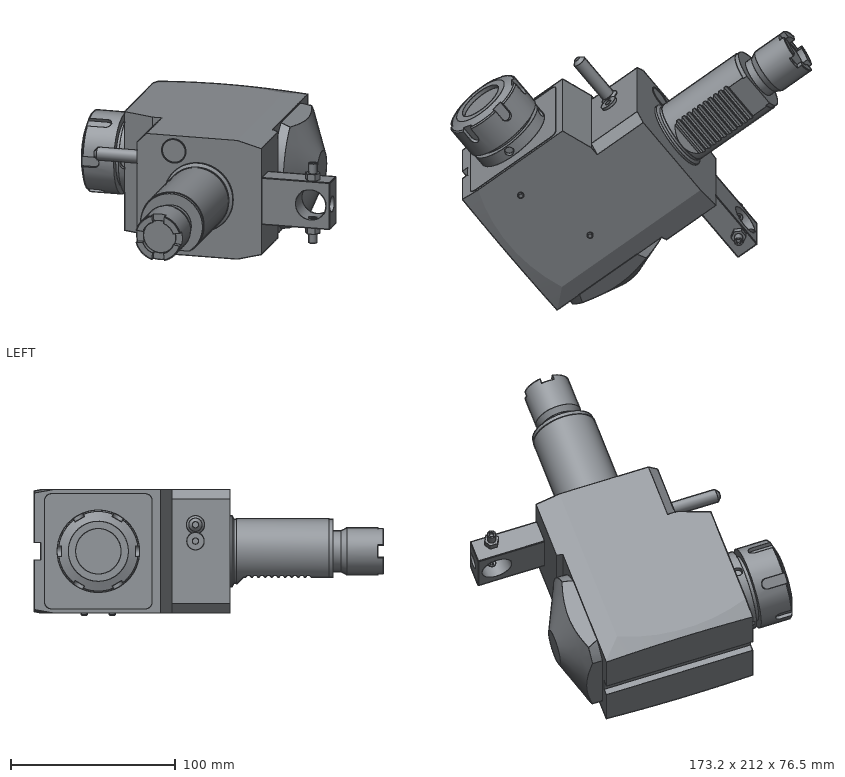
import cadquery as cq
import math


HALF_HEIGHT = 37.5
REAR_Y = 119.0
SPINDLE_Y = 80.0
NOSE_FACE_X = -58.5
NOSE_BOTTOM_Y = 42.2
FOOT_FACE_X = -39.0
FOOT_TOP_Y = 35.2
FOOT_CHAMFER = 6.0
BACK_FACE_X = 35.6
BACK_STEP_TOP_Y = 39.0
BACK_STEP_BOTTOM_Y = 37.7
BACK_FOOT_X = 39.2
TAPER_START_X = 24.2
TAPER_ANGLE = 15
CROWN_X = -17.8
CROWN_Y = 4.2
CROWN_RADIUS = 110.2
CROWN_ANGLE = 11
CROWN_OUTER_RADIUS = 148.5
NOTCH_WIDTH = 10.4
NOTCH_DEPTH = 4.0

PANEL_BOTTOM_Y = 47.3
PANEL_TOP_Y = 112.5
PANEL_HALF_HEIGHT = 35.0
PANEL_CORNER_RADIUS = 4.2
PANEL_THICKNESS = 0.2
PLUG_X = -16.0
PLUG_Z = 27.8
PLUG_RADIUS = 7.6
PLUG_GROOVE = 0.5
BUTTONS = [(-40.0, 88.5), (6.8, 71.5)]
BUTTON_RADIUS = 2.0
BUTTON_HEIGHT = 1.5
BUTTON_CHAMFER = 0.6

PIN_Y = 21.0
PIN_Z = 16.1
PIN_TIP_X = -71.5
PIN_RADIUS = 4.0
PIN_CHAMFER = 2.1
PIN_COLLAR_RADIUS = 5.5
COLLAR_HEIGHT = 2.0
NOZZLE_Z = 6.1
NOZZLE_RADIUS = 5.3
NOZZLE_HEIGHT = 1.7
NOZZLE_BORE_RADIUS = 2.0

NUT_FACE_X = -91.2
NUT_CHAMFER_X = -89.0
NUT_EDGE_BREAK = 0.8
NUT_BACK_X = -69.0
NUT_RADIUS = 25.0
NUT_FACE_RADIUS = 18.2
COLLET_RADIUS = 13.8
COLLET_DEPTH = 2.5
NECK_RADIUS = 20.4
SPINDLE_COLLAR_X = -66.1
SPINDLE_COLLAR_RADIUS = 24.2
SPANNER_SLOT_WIDTH = 6.5
SPANNER_SLOT_DEPTH = 2.5
LONG_SLOT_END_X = -73.8
SHORT_SLOT_END_X = -78.2
LONG_SLOT_ANGLES = (60, 120)
SHORT_SLOT_ANGLES = (0, 180, 240, 300)
COLLAR_HOLE_X = -62.5
COLLAR_HOLE_RADIUS = 2.8
COLLAR_HOLE_DEPTH = 3.2

CAP_RADIUS = 40.0
CAP_RIM_X = 42.0
CAP_END_X = 55.3
CAP_END_RADIUS = 10.8
CAP_HALF_SIDE = 31.8

SHANK_RADIUS = 20.0
SHANK_FLANGE_RADIUS = 21.6
SHANK_FLANGE_Y = -1.3
SHANK_RELIEF_Y = -2.3
SHANK_RELIEF_RADIUS = 19.5
SHANK_TOP_Y = -4.0
SHANK_END_Y = -62.5
SHANK_TIP_STEP = 2.5
RACK_FLAT_Z = -16.0
RACK_START_Y = -8.0
RACK_LAST_GROOVE_Y = -47.5
RACK_PITCH = 4.0
RACK_GROOVES = 10
RACK_GROOVE_DEPTH = 1.0
RACK_GROOVE_ROOT = 0.8

DRIVE_END_Y = -93.0
DRIVE_NECK_RADIUS = 12.5
DRIVE_NECK_END_Y = -67.2
DRIVE_SHOULDER_Y = -71.0
DRIVE_RADIUS = 14.5
DRIVE_CHAMFER = 0.5
DRIVE_BORE_RADIUS = 10.2
DRIVE_BORE_DEPTH = 4.0
DRIVE_SLOT_INNER_RADIUS = 9.5
DRIVE_SLOT_INNER_WIDTH = 7.0
DRIVE_SLOT_OUTER_WIDTH = 8.0
DRIVE_SLOT_DEPTH = 3.4
DRIVE_SLOTS = 4

ARM_END_X = 82.0
ARM_BOTTOM_Y = 1.3
ARM_TOP_Y = 16.1
ARM_HALF_HEIGHT = 14.8
ARM_EDGE_CHAMFER = 0.5
ARM_HOLE_X = 70.0
ARM_HOLE_RADIUS = 9.5
ARM_SCREW_Y = 6.4
SCREW_RADIUS = 2.5
SCREW_HEAD_Z = 25.0
SCREW_POINT_Z = 10.2
SCREW_DIMPLE_RADIUS = 1.0
SCREW_DIMPLE_DEPTH = 1.3
ARM_END_HOLE_RADIUS = 4.9
LOCKNUT_ACROSS_CORNERS = 9.1
LOCKNUT_HEIGHT = 4.0
SOCKET_ACROSS_CORNERS = 3.4
SOCKET_DEPTH = 2.1


def cylinder_x(x_start, x_end, y, z, radius):
    """Cylinder along +X between two X positions."""
    start = cq.Vector(x_start, y, z)
    return cq.Workplane(obj=cq.Solid.makeCylinder(radius, x_end - x_start, start, cq.Vector(1, 0, 0)))


def revolve_x(profile):
    """Solid of (x, radius) points turned about the spindle axis."""
    points = [(x, SPINDLE_Y + radius) for x, radius in profile]
    return (cq.Workplane("XY").polyline(points).close()
            .revolve(360, (0, SPINDLE_Y), (1, SPINDLE_Y)))


def revolve_y(profile):
    """Solid of (radius, y) points turned about the shank axis."""
    return cq.Workplane("XY").polyline(profile).close().revolve(360, (0, 0), (0, 1))


def make_housing():
    plan = [
        (NOSE_FACE_X, REAR_Y), (BACK_FACE_X, REAR_Y),
        (BACK_FACE_X, BACK_STEP_TOP_Y), (BACK_FOOT_X, BACK_STEP_BOTTOM_Y),
        (BACK_FOOT_X, 0), (FOOT_FACE_X, 0),
        (FOOT_FACE_X, FOOT_TOP_Y), (NOSE_FACE_X, NOSE_BOTTOM_Y),
    ]
    block = cq.Workplane("XY").polyline(plan).close().extrude(HALF_HEIGHT, both=True)

    taper_drop = (BACK_FOOT_X - TAPER_START_X) * math.tan(math.radians(TAPER_ANGLE))
    taper_z = HALF_HEIGHT - taper_drop
    side = [
        (NOSE_FACE_X, HALF_HEIGHT), (TAPER_START_X, HALF_HEIGHT), (BACK_FOOT_X, taper_z),
        (BACK_FOOT_X, -taper_z), (TAPER_START_X, -HALF_HEIGHT), (NOSE_FACE_X, -HALF_HEIGHT),
    ]
    block = block.intersect(cq.Workplane("XZ").polyline(side).close().extrude(-REAR_Y))

    crown_drop = (CROWN_OUTER_RADIUS - CROWN_RADIUS) * math.tan(math.radians(CROWN_ANGLE))
    crown_z = HALF_HEIGHT - crown_drop
    crown_profile = [
        (0, HALF_HEIGHT), (CROWN_RADIUS, HALF_HEIGHT), (CROWN_OUTER_RADIUS, crown_z),
        (CROWN_OUTER_RADIUS, -crown_z), (CROWN_RADIUS, -HALF_HEIGHT), (0, -HALF_HEIGHT),
    ]
    crown = (cq.Workplane("XZ").polyline(crown_profile).close()
             .revolve(360, (0, 0), (0, 1)).translate((CROWN_X, CROWN_Y, 0)))
    block = block.intersect(crown)

    for sign in (1, -1):
        corner = [
            (FOOT_FACE_X, sign * HALF_HEIGHT),
            (FOOT_FACE_X + FOOT_CHAMFER, sign * HALF_HEIGHT),
            (FOOT_FACE_X, sign * (HALF_HEIGHT - FOOT_CHAMFER)),
        ]
        block = block.cut(cq.Workplane("XZ").polyline(corner).close().extrude(-FOOT_TOP_Y))

    notch_length = BACK_FACE_X - NOSE_FACE_X
    notch = (cq.Workplane("XY").box(notch_length, NOTCH_DEPTH, NOTCH_WIDTH, centered=(False, False, True))
             .translate((NOSE_FACE_X, REAR_Y - NOTCH_DEPTH, 0)))
    return block.cut(notch)


def make_panel():
    """Thin rounded plate on the nose face."""
    height = PANEL_TOP_Y - PANEL_BOTTOM_Y
    return (cq.Workplane("XY").box(2 * PANEL_THICKNESS, height, 2 * PANEL_HALF_HEIGHT)
            .edges("|X").fillet(PANEL_CORNER_RADIUS)
            .translate((NOSE_FACE_X, PANEL_BOTTOM_Y + height / 2, 0)))


def make_plug_groove():
    """Ring groove that outlines a flush plug in the seating face."""
    return (cq.Workplane("XZ").center(PLUG_X, PLUG_Z)
            .circle(PLUG_RADIUS).circle(PLUG_RADIUS - PLUG_GROOVE).extrude(-PLUG_GROOVE))


def make_buttons():
    return (cq.Workplane("XY").workplane(offset=-HALF_HEIGHT - BUTTON_HEIGHT)
            .pushPoints(BUTTONS).circle(BUTTON_RADIUS).extrude(2 * BUTTON_HEIGHT)
            .faces("<Z").chamfer(BUTTON_CHAMFER))


def make_pin():
    pin = cylinder_x(PIN_TIP_X, FOOT_FACE_X, PIN_Y, PIN_Z, PIN_RADIUS).faces("<X").chamfer(PIN_CHAMFER)
    collar = cylinder_x(FOOT_FACE_X - COLLAR_HEIGHT, FOOT_FACE_X, PIN_Y, PIN_Z, PIN_COLLAR_RADIUS)
    collar = collar.faces("<X").chamfer(PIN_COLLAR_RADIUS - PIN_RADIUS)
    return pin.union(collar)


def make_nozzle():
    face_x = FOOT_FACE_X - NOZZLE_HEIGHT
    disc = cylinder_x(face_x, FOOT_FACE_X, PIN_Y, NOZZLE_Z, NOZZLE_RADIUS)
    return disc.cut(cylinder_x(face_x, FOOT_FACE_X, PIN_Y, NOZZLE_Z, NOZZLE_BORE_RADIUS))


def make_spanner_slot(angle, end_x):
    """Round-ended slot cut radially into the nut, open at its front face."""
    round_x = end_x - SPANNER_SLOT_WIDTH / 2
    bottom = NUT_RADIUS - SPANNER_SLOT_DEPTH
    straight = (cq.Workplane("XY")
                .box(round_x - NUT_FACE_X, SPANNER_SLOT_WIDTH, NUT_RADIUS, centered=(False, True, False))
                .translate((NUT_FACE_X, SPINDLE_Y, bottom)))
    rounded = (cq.Workplane("XY").workplane(offset=bottom).center(round_x, SPINDLE_Y)
               .circle(SPANNER_SLOT_WIDTH / 2).extrude(NUT_RADIUS))
    return straight.union(rounded).rotate((0, SPINDLE_Y, 0), (1, SPINDLE_Y, 0), angle - 90)


def make_spindle():
    spindle = revolve_x([
        (NUT_FACE_X, 0), (NUT_FACE_X, NUT_FACE_RADIUS), (NUT_CHAMFER_X, NUT_RADIUS - NUT_EDGE_BREAK),
        (NUT_CHAMFER_X + NUT_EDGE_BREAK, NUT_RADIUS),
        (NUT_BACK_X, NUT_RADIUS), (NUT_BACK_X, NECK_RADIUS),
        (SPINDLE_COLLAR_X, NECK_RADIUS), (SPINDLE_COLLAR_X, SPINDLE_COLLAR_RADIUS),
        (NOSE_FACE_X, SPINDLE_COLLAR_RADIUS), (NOSE_FACE_X, 0),
    ])
    spindle = spindle.cut(cylinder_x(NUT_FACE_X, NUT_FACE_X + COLLET_DEPTH, SPINDLE_Y, 0, COLLET_RADIUS))
    for angle in LONG_SLOT_ANGLES:
        spindle = spindle.cut(make_spanner_slot(angle, LONG_SLOT_END_X))
    for angle in SHORT_SLOT_ANGLES:
        spindle = spindle.cut(make_spanner_slot(angle, SHORT_SLOT_END_X))
    for angle in (0, 90, 180, 270):
        hole = (cq.Workplane("XY").workplane(offset=SPINDLE_COLLAR_RADIUS - COLLAR_HOLE_DEPTH)
                .center(COLLAR_HOLE_X, SPINDLE_Y).circle(COLLAR_HOLE_RADIUS).extrude(2 * COLLAR_HOLE_DEPTH)
                .rotate((0, SPINDLE_Y, 0), (1, SPINDLE_Y, 0), angle))
        spindle = spindle.cut(hole)
    return spindle


def make_cap():
    """Conical cap on the back face, with sloping flats on both sides and a straight flat toward the rear."""
    cap = revolve_x([
        (BACK_FACE_X, 0), (BACK_FACE_X, CAP_RADIUS), (CAP_RIM_X, CAP_RADIUS),
        (CAP_END_X, CAP_END_RADIUS), (CAP_END_X, 0),
    ])
    slope = math.tan(math.radians(TAPER_ANGLE))
    inner_z = CAP_HALF_SIDE + (CAP_RIM_X - BACK_FACE_X) * slope
    outer_z = CAP_HALF_SIDE - (CAP_END_X - CAP_RIM_X) * slope
    flats = [(BACK_FACE_X, inner_z), (CAP_END_X, outer_z), (CAP_END_X, -outer_z), (BACK_FACE_X, -inner_z)]
    envelope = cq.Workplane("XZ").polyline(flats).close().extrude(-SPINDLE_Y - CAP_HALF_SIDE)
    return cap.intersect(envelope)


def make_shank():
    shank = revolve_y([
        (0, 0), (SHANK_FLANGE_RADIUS, 0), (SHANK_FLANGE_RADIUS, SHANK_FLANGE_Y),
        (SHANK_RELIEF_RADIUS, SHANK_RELIEF_Y), (SHANK_RELIEF_RADIUS, SHANK_TOP_Y),
        (SHANK_RADIUS, SHANK_TOP_Y), (SHANK_RADIUS, SHANK_END_Y + SHANK_TIP_STEP),
        (SHANK_RELIEF_RADIUS, SHANK_END_Y + SHANK_TIP_STEP), (SHANK_RELIEF_RADIUS, SHANK_END_Y),
        (0, SHANK_END_Y),
    ])

    width = 2 * SHANK_FLANGE_RADIUS
    drop = SHANK_FLANGE_RADIUS + RACK_FLAT_Z
    flat = [
        (RACK_START_Y, RACK_FLAT_Z), (RACK_START_Y + drop, RACK_FLAT_Z - drop),
        (SHANK_END_Y, RACK_FLAT_Z - drop), (SHANK_END_Y, RACK_FLAT_Z),
    ]
    shank = shank.cut(cq.Workplane("YZ").polyline(flat).close().extrude(width / 2, both=True))

    half_mouth = RACK_GROOVE_ROOT + RACK_GROOVE_DEPTH
    root_z = RACK_FLAT_Z + RACK_GROOVE_DEPTH
    for index in range(RACK_GROOVES):
        y = RACK_LAST_GROOVE_Y + index * RACK_PITCH
        groove = [
            (y - half_mouth, RACK_FLAT_Z), (y - RACK_GROOVE_ROOT, root_z),
            (y + RACK_GROOVE_ROOT, root_z), (y + half_mouth, RACK_FLAT_Z),
        ]
        shank = shank.cut(cq.Workplane("YZ").polyline(groove).close().extrude(width / 2, both=True))
    return shank


def make_drive():
    drive = revolve_y([
        (0, SHANK_END_Y), (DRIVE_NECK_RADIUS, SHANK_END_Y), (DRIVE_NECK_RADIUS, DRIVE_NECK_END_Y),
        (DRIVE_RADIUS, DRIVE_SHOULDER_Y), (DRIVE_RADIUS, DRIVE_END_Y + DRIVE_CHAMFER),
        (DRIVE_RADIUS - DRIVE_CHAMFER, DRIVE_END_Y), (0, DRIVE_END_Y),
    ])
    end_plane = cq.Workplane("XZ", origin=(0, DRIVE_END_Y, 0))
    drive = drive.cut(end_plane.circle(DRIVE_BORE_RADIUS).extrude(-DRIVE_BORE_DEPTH))
    wedge = [
        (DRIVE_SLOT_INNER_RADIUS, DRIVE_SLOT_INNER_WIDTH / 2), (DRIVE_RADIUS, DRIVE_SLOT_OUTER_WIDTH / 2),
        (DRIVE_RADIUS, -DRIVE_SLOT_OUTER_WIDTH / 2), (DRIVE_SLOT_INNER_RADIUS, -DRIVE_SLOT_INNER_WIDTH / 2),
    ]
    for index in range(DRIVE_SLOTS):
        slot = (end_plane.polyline(wedge).close()
                .extrude(-DRIVE_SLOT_DEPTH).rotate((0, 0, 0), (0, 1, 0), index * 360 / DRIVE_SLOTS))
        drive = drive.cut(slot)
    return drive


def make_arm():
    thickness = ARM_TOP_Y - ARM_BOTTOM_Y
    arm = (cq.Workplane("XY")
           .box(ARM_END_X - BACK_FOOT_X, thickness, 2 * ARM_HALF_HEIGHT, centered=(False, False, True))
           .edges("|X or >X").chamfer(ARM_EDGE_CHAMFER)
           .translate((BACK_FOOT_X, ARM_BOTTOM_Y, 0)))

    for sign in (1, -1):
        face = cq.Workplane("XY", origin=(ARM_HOLE_X, ARM_SCREW_Y, sign * ARM_HALF_HEIGHT))
        tip = cq.Workplane("XY", origin=(ARM_HOLE_X, ARM_SCREW_Y, sign * SCREW_HEAD_Z))
        arm = arm.union(face.polygon(6, LOCKNUT_ACROSS_CORNERS).extrude(sign * LOCKNUT_HEIGHT))
        arm = arm.union(face.circle(SCREW_RADIUS).extrude(sign * (SCREW_HEAD_Z - ARM_HALF_HEIGHT)))
        arm = arm.cut(tip.polygon(6, SOCKET_ACROSS_CORNERS).extrude(-sign * SOCKET_DEPTH))

    hole = (cq.Workplane("XZ", origin=(ARM_HOLE_X, ARM_BOTTOM_Y, 0))
            .circle(ARM_HOLE_RADIUS).extrude(-thickness))
    arm = arm.cut(hole)

    center = cq.Workplane("XY", origin=(ARM_HOLE_X, ARM_SCREW_Y, 0))
    arm = arm.cut(center.circle(SCREW_RADIUS).extrude(SCREW_POINT_Z, both=True))
    arm = arm.cut(center.circle(SCREW_DIMPLE_RADIUS).extrude(SCREW_POINT_Z + SCREW_DIMPLE_DEPTH, both=True))

    return arm.cut(cylinder_x(ARM_HOLE_X, ARM_END_X, ARM_SCREW_Y, 0, ARM_END_HOLE_RADIUS))


result = make_housing().cut(make_plug_groove())
for attachment in (make_panel(), make_buttons(), make_pin(), make_nozzle(), make_spindle(),
                   make_cap(), make_shank(), make_drive(), make_arm()):
    result = result.union(attachment)